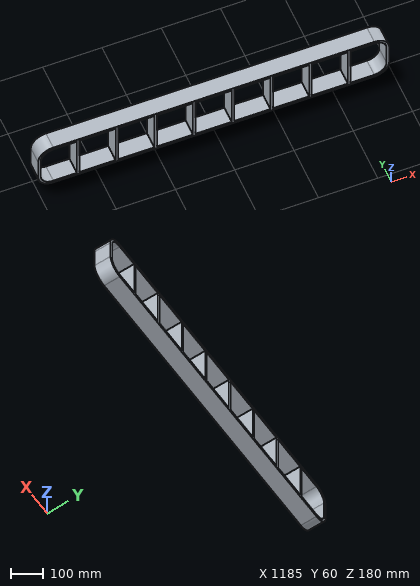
import cadquery as cq

length = 1185.0
depth = 60.0
height = 180.0
wall = 10.0
corner_radius = 51.0

divider_count = 8
divider_pitch = (length - wall) / (divider_count + 1)
divider_thickness = 10.0


def rounded_block(block_length, block_height, radius):
    """Block centred on the origin, with its four corners rounded about Y."""
    block = cq.Workplane("XY").box(block_length, depth, block_height)
    return block.edges("|Y").fillet(radius)


def divider(index):
    """Upright whose ends are embedded halfway into the frame walls."""
    x = (index - (divider_count - 1) / 2) * divider_pitch
    upright = cq.Workplane("XY").box(divider_thickness, depth, height - wall)
    return upright.translate((x, 0, 0))


outer = rounded_block(length, height, corner_radius)
opening = rounded_block(length - 2 * wall, height - 2 * wall, corner_radius - wall)
result = outer.cut(opening)

for i in range(divider_count):
    result = result.union(divider(i))